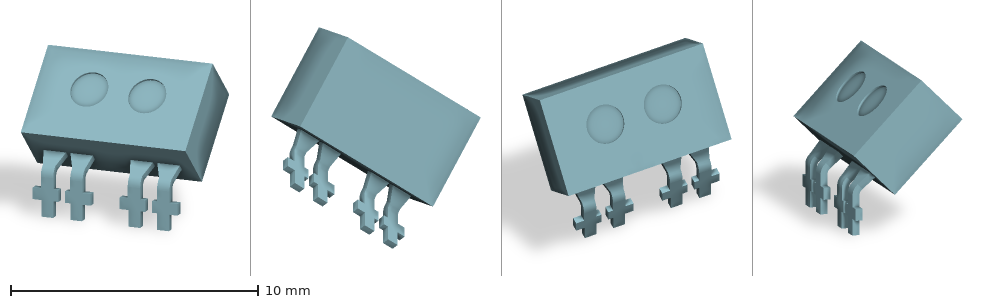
import cadquery as cq
import math

BODY_LENGTH = 7.2
BODY_DEPTH = 2.5
BODY_HEIGHT = 4.11
TILT = 45.0

WINDOW_DIAMETER = 1.6
WINDOW_SPACING = 2.535
WINDOW_FROM_TOP = 1.815
WINDOW_DEPTH = 0.1

LEAD_THICKNESS = 0.3
LEAD_SETBACK = 1.3
PAIR_SPACING = 3.8
ARM_LENGTH = 0.755
TAPER_LENGTH = 0.68
BEND_OUTER_RADIUS = 0.555
SHANK_HEIGHT = 0.49
TAB_HEIGHT = 0.49
TIP_HEIGHT = 0.7

ROOT_EDGES = (0.09, 1.08)
SHANK_EDGES = (0.37, 0.915)
TAB_EDGES = (0.15, 1.27)
TIP_EDGES = (0.375, 0.885)

SIN_TILT = math.sin(math.radians(TILT))
COS_TILT = math.cos(math.radians(TILT))
BEND_START_Y = LEAD_SETBACK * COS_TILT - ARM_LENGTH * SIN_TILT
BEND_START_Z = -LEAD_SETBACK * SIN_TILT - ARM_LENGTH * COS_TILT
BEND_CENTER_Y = BEND_START_Y + BEND_OUTER_RADIUS * COS_TILT
BEND_CENTER_Z = BEND_START_Z - BEND_OUTER_RADIUS * SIN_TILT
LEAD_FRONT_Y = BEND_CENTER_Y - BEND_OUTER_RADIUS


def tilt(solid):
    """Lean a solid back about the X axis, the lower front edge of the body."""
    return solid.rotate((0, 0, 0), (1, 0, 0), -TILT)


def make_body():
    body = cq.Workplane("XY").box(BODY_LENGTH, BODY_DEPTH, BODY_HEIGHT, centered=(True, False, False))
    windows = (
        cq.Workplane("XZ")
        .pushPoints([(side * WINDOW_SPACING / 2, BODY_HEIGHT - WINDOW_FROM_TOP) for side in (-1, 1)])
        .circle(WINDOW_DIAMETER / 2)
        .extrude(-WINDOW_DEPTH)
    )
    return tilt(body.cut(windows))


def make_arm():
    """Tapered stretch from the underside of the body to the bend."""
    outline = [
        (ROOT_EDGES[0], 0),
        (ROOT_EDGES[1], 0),
        (SHANK_EDGES[1], -TAPER_LENGTH),
        (SHANK_EDGES[1], -ARM_LENGTH),
        (SHANK_EDGES[0], -ARM_LENGTH),
        (SHANK_EDGES[0], -TAPER_LENGTH),
    ]
    arm = cq.Workplane("XZ", origin=(0, LEAD_SETBACK, 0)).polyline(outline).close().extrude(-LEAD_THICKNESS)
    return tilt(arm)


def bend_point(radius, angle):
    """Point on the bend, angle measured up from the front horizontal."""
    y = BEND_CENTER_Y - radius * math.cos(math.radians(angle))
    z = BEND_CENTER_Z + radius * math.sin(math.radians(angle))
    return (y, z)


def make_bend():
    inner_radius = BEND_OUTER_RADIUS - LEAD_THICKNESS
    near, far = SHANK_EDGES
    return (
        cq.Workplane("YZ", origin=(near, 0, 0))
        .moveTo(*bend_point(BEND_OUTER_RADIUS, TILT))
        .threePointArc(bend_point(BEND_OUTER_RADIUS, TILT / 2), bend_point(BEND_OUTER_RADIUS, 0))
        .lineTo(*bend_point(inner_radius, 0))
        .threePointArc(bend_point(inner_radius, TILT / 2), bend_point(inner_radius, TILT))
        .close()
        .extrude(far - near)
    )


def make_lead():
    """One lead on the +X side of its pair."""
    lead = make_arm().union(make_bend())
    top = BEND_CENTER_Z
    for (near, far), height in ((SHANK_EDGES, SHANK_HEIGHT), (TAB_EDGES, TAB_HEIGHT), (TIP_EDGES, TIP_HEIGHT)):
        section = (
            cq.Workplane("XY")
            .box(far - near, LEAD_THICKNESS, height, centered=False)
            .translate((near, LEAD_FRONT_Y, top - height))
        )
        lead = lead.union(section)
        top -= height
    return lead


lead = make_lead()
lead_pair = lead.union(lead.mirror("YZ"))

result = make_body()
for side in (-1, 1):
    result = result.union(lead_pair.translate((side * PAIR_SPACING / 2, 0, 0)))